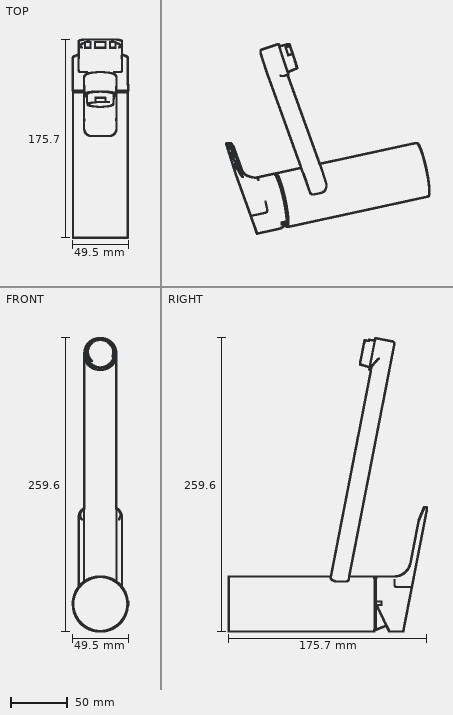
import cadquery as cq
import math

body_radius = 24.5
body_length = 129.0
front_chamfer = 0.5

tilt = math.radians(11)
along = cq.Vector(0, math.sin(tilt), math.cos(tilt))
forward = cq.Vector(0, -math.cos(tilt), math.sin(tilt))
across = cq.Vector(1, 0, 0)

front_most = cq.selectors.DirectionMinMaxSelector(forward, True)
rear_most = cq.selectors.DirectionMinMaxSelector(forward, False)
highest = cq.selectors.DirectionMinMaxSelector(along, True)
upright = cq.selectors.ParallelDirSelector(along)
sideways = cq.selectors.ParallelDirSelector(across)
front_to_rear = cq.selectors.ParallelDirSelector(forward)

neck_radius = 22.8
neck_end_radius = 18.2
neck_end_y = 142.7
groove_width = 1.5

spout_y = 94.0
spout_width = 28.5
spout_thickness = 16.0
spout_front_round = 7.0
spout_rear_round = 2.3
head_height = 223.4
head_lip = 1.5

aerator_length = 9.0
aerator_base_radius = 12.2
aerator_end_radius = 11.5
aerator_end_round = 0.5
key_flat_width = 8.8
key_flat_length = 4.0

lever_y = 159.3
lever_front_y = body_length + groove_width
skirt_bottom_y = 142.2
blade_width = 38.5
blade_thickness = 5.5
blade_height = 87.2
blade_corner = 9.9
blade_edge_round = 3.6
taper_length = 12.5
tip_thickness = 2.9
tip_round = 1.3
flare_radius = 14.3
flare_steps = 4
flare_depth = 18.2
flare_end_drop = 0.3
grip_depth = 0.5
grip_centre_width = 9.3
grip_side_width = 5.0
grip_side_x = 11.2

lug_span = 49.5
lug_length = 5.0
lug_bottom = -0.8
lug_top = 2.0


def leaning_plane(y):
    """Local x across the part, y up the lean, z toward the front."""
    return cq.Plane(origin=(0, y, 0), xDir=across, normal=forward)


def leaning_side_plane(y):
    """Local x toward the front, y up the lean, z across the part."""
    return cq.Plane(origin=(0, y, 0), xDir=forward, normal=forward.cross(along))


def cylinder_along_y(radius, start, end):
    return cq.Workplane("XZ", origin=(0, start, 0)).circle(radius).extrude(start - end)


def make_body():
    body = cylinder_along_y(body_radius, 0, body_length)
    return body.faces("<Y").chamfer(front_chamfer)


def make_neck():
    outline = [
        (0, body_length),
        (neck_radius, body_length),
        (neck_radius, lever_front_y),
        (neck_end_radius, neck_end_y),
        (0, neck_end_y),
    ]
    return cq.Workplane("XY").polyline(outline).close().revolve(360, (0, 0), (0, 1))


def make_spout():
    half = spout_thickness / 2
    rear_level = cq.Workplane(leaning_plane(spout_y)).workplane(offset=-half)
    bar = rear_level.center(0, head_height / 2).rect(spout_width, head_height).extrude(spout_thickness)
    bar = bar.faces(front_most).edges(upright).fillet(spout_front_round)
    bar = bar.faces(rear_most).edges(upright).fillet(spout_rear_round)
    head = rear_level.center(0, head_height).circle(spout_width / 2).extrude(spout_thickness + head_lip)
    head = head.faces(rear_most).edges().fillet(spout_rear_round)
    return bar.union(head)


def make_aerator():
    base = leaning_plane(spout_y)
    mount = cq.Workplane(base).workplane(offset=spout_thickness / 2 + head_lip).center(0, head_height)
    cone = (
        mount.circle(aerator_base_radius)
        .workplane(offset=aerator_length)
        .circle(aerator_end_radius)
        .loft()
    )
    cone = cone.faces(front_most).edges().fillet(aerator_end_round)
    flat_level = math.sqrt(aerator_end_radius**2 - (key_flat_width / 2) ** 2)
    key_flat = (
        mount.workplane(offset=aerator_length - key_flat_length)
        .center(0, flat_level + aerator_base_radius / 2)
        .rect(key_flat_width, aerator_base_radius)
        .extrude(key_flat_length)
    )
    return cone.cut(key_flat)


def make_lever_hub():
    """Cylinder cut by the leaning rear face and by the oblique underside."""
    reach = body_radius
    rise = reach * math.tan(tilt)
    profile = [
        (lever_front_y, reach),
        (lever_front_y, 0),
        (skirt_bottom_y, -reach),
        (lever_y - rise, -reach),
        (lever_y + rise, reach),
    ]
    side = cq.Workplane("YZ").polyline(profile).close().extrude(body_radius, both=True)
    return side.intersect(cylinder_along_y(body_radius, lever_front_y, lever_y + rise))


def make_blade():
    taper_start = blade_height - taper_length
    profile = [
        (0, 0),
        (blade_thickness, 0),
        (blade_thickness, taper_start),
        (tip_thickness, blade_height),
        (0, blade_height),
    ]
    side = leaning_side_plane(lever_y)
    blade = cq.Workplane(side).polyline(profile).close().extrude(blade_width / 2, both=True)
    blade = blade.edges(sideways).edges(highest).fillet(tip_round)
    outline = (
        cq.Workplane(leaning_plane(lever_y))
        .center(0, blade_height / 2)
        .rect(blade_width, blade_height)
        .extrude(blade_thickness)
        .edges(front_to_rear)
        .edges(highest)
        .fillet(blade_corner)
        .faces(front_most)
        .edges(upright)
        .fillet(blade_edge_round)
    )
    blade = blade.intersect(outline)
    grooves = (
        (0, grip_centre_width),
        (-grip_side_x, grip_side_width),
        (grip_side_x, grip_side_width),
    )
    groove_profile = [
        (blade_thickness - grip_depth, taper_start),
        (blade_thickness, taper_start),
        (blade_thickness, blade_height),
        (tip_thickness - grip_depth, blade_height),
    ]
    for x, width in grooves:
        cutter = cq.Workplane(side).polyline(groove_profile).close().extrude(width / 2, both=True)
        blade = blade.cut(cutter.translate((x, 0, 0)))
    return blade


def make_flare():
    """Concave blend that turns the round top of the hub into the flat front of the blade."""
    half = blade_width / 2
    hub_drop = body_radius - math.sqrt(body_radius**2 - half**2)
    centre_z = body_radius + flare_radius
    blade_front_y = lever_y - blade_thickness / math.cos(tilt)
    centre_y = blade_front_y + centre_z * math.tan(tilt) - flare_radius / math.cos(tilt)
    full_turn = math.pi / 2 - tilt
    sections = []
    for step in range(flare_steps + 1):
        share = step / flare_steps
        angle = share * full_turn
        outward = cq.Vector(0, math.sin(angle), -math.cos(angle))
        plane = cq.Plane(
            origin=cq.Vector(0, centre_y, centre_z) + outward * flare_radius,
            xDir=across,
            normal=across.cross(outward),
        )
        drop = hub_drop * (1 - share) ** 2 + flare_end_drop * share
        outline = (
            cq.Workplane(plane)
            .moveTo(-half, flare_depth)
            .lineTo(-half, drop)
            .threePointArc((0, 0), (half, drop))
            .lineTo(half, flare_depth)
            .close()
        )
        sections.append(outline.val())
    blend = cq.Workplane(cq.Solid.makeLoft(sections))
    for x in (-half, half):
        long_edge = cq.selectors.NearestToPointSelector((x, centre_y + flare_radius, body_radius))
        blend = blend.edges(long_edge).fillet(blade_edge_round)
    ahead_of_rear_face = (
        cq.Workplane(leaning_plane(lever_y))
        .rect(2 * body_radius, 4 * centre_z)
        .extrude(body_radius + flare_radius)
    )
    return blend.intersect(ahead_of_rear_face)


def make_lugs():
    height = lug_top - lug_bottom
    bar = cq.Workplane("XY").box(lug_span, lug_length, height)
    return bar.translate((0, lever_front_y + lug_length / 2, (lug_top + lug_bottom) / 2))


result = make_body()
for piece in (
    make_neck(),
    make_spout(),
    make_aerator(),
    make_lever_hub(),
    make_flare(),
    make_blade(),
    make_lugs(),
):
    result = result.union(piece)